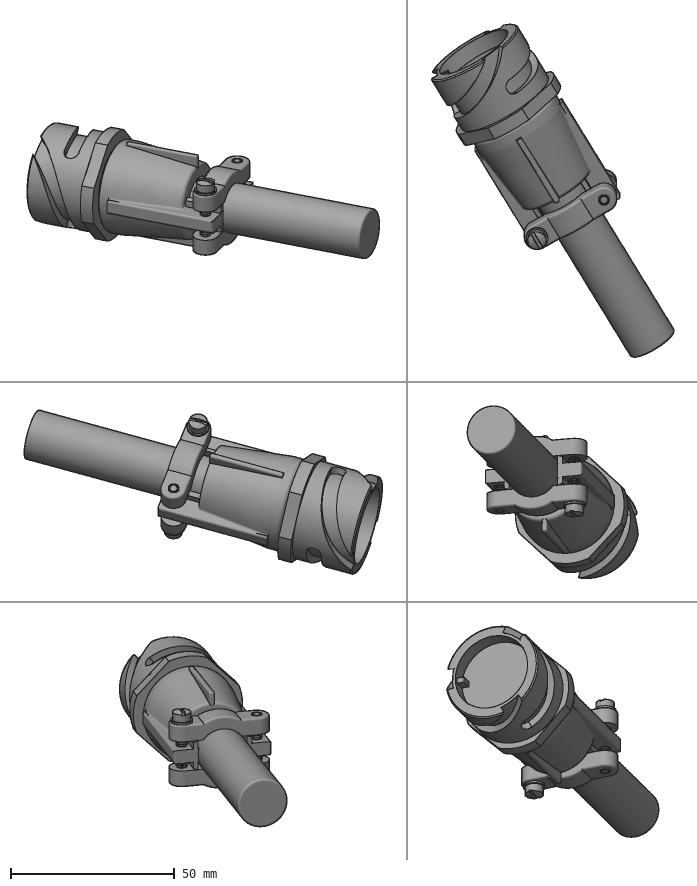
import cadquery as cq
import math

overall_length = 108.1

barrel_radius = 15.5
barrel_length = 18.9
barrel_rim_chamfer = 0.4
bore_radius = 12.1
bore_depth = 5.0
key_inner_radius = 9.8
key_width = 1.7
key_setback = 1.3

groove_count = 3
groove_width = 4.8
groove_floor_radius = 13.1
groove_start_angle = 121.0
groove_sweep = 122.0
groove_end_x = 12.0
groove_curve_power = 2.5
groove_lead_in = 0.15
groove_segments = 26
groove_segment_growth = 1.2

nut_diameter = 34.7
nut_flat_distance = 15.8
nut_flat_angle = 45
nut_width = 4.1

neck_radius = 13.1
neck_length = 0.3
shell_radius = 14.6
shell_small_radius = 12.0
shell_front_round = 1.4
shell_rear_round = 1.1
cone_start_x = 27.8
shell_end_x = 50.6

rib_start_x = 27.0
rib_reach = 15.5
rib_thickness = 1.7
arm_thickness = 4.3
arm_overhang = 11.8
edge_round = 0.6
arm_root_round = 0.6

cable_radius = 7.8
cable_end_round = 0.6

clamp_width = 7.8
clamp_arch_radius = 11.7
clamp_end_gap = 0.1
clamp_ear_top = 10.0
clamp_ear_bottom = 4.8
cradle_half_width = 9.3
cradle_top_drop = 0.5

screw_offset = 11.9
screw_radius = 1.7
thread_pitch = 0.6
thread_depth = 0.3
screw_head_radius = 2.8
screw_head_top = 13.8
screw_dome_height = 0.6
screw_slot_width = 1.1
screw_slot_depth = 1.0
washer_radius = 3.4
washer_thickness = 0.6
tip_clearance_radius = 1.6
tip_radius = 1.2
tip_recess = 0.5

groove_cutter_height = 2 * (barrel_radius - groove_floor_radius)
nut_end_x = barrel_length + nut_width
shell_start_x = nut_end_x + neck_length
arm_end_x = shell_end_x + arm_overhang
clamp_x = arm_end_x - clamp_end_gap - clamp_width / 2


def cylinder_x(radius, start_x, end_x):
    """Cylinder on the part axis between two X positions."""
    return cq.Workplane("YZ").workplane(offset=start_x).circle(radius).extrude(end_x - start_x)


def cylinder_z(radius, y, bottom, top):
    """Upright cylinder on the clamp centre line."""
    return (cq.Workplane("XY").workplane(offset=bottom)
            .center(clamp_x, y).circle(radius).extrude(top - bottom))


def block(x_range, y_range, z_range):
    """Axis-aligned block given its limits along X, Y and Z."""
    limits = (x_range, y_range, z_range)
    size = [high - low for low, high in limits]
    corner = tuple(limit[0] for limit in limits)
    return cq.Workplane("XY").box(*size, centered=False).translate(corner)


def groove_point(progress, radius):
    """Point on the groove centre line; progress runs from 0 at the mouth to 1 at the end."""
    x = groove_end_x * (1 - (1 - progress) ** groove_curve_power)
    angle = math.radians(groove_start_angle + groove_sweep * progress)
    return cq.Vector(x, radius * math.cos(angle), radius * math.sin(angle))


def groove_section(progress):
    """Rectangular groove section square to the centre line."""
    step = 0.001
    after = groove_point(min(progress + step, 1), barrel_radius)
    before = groove_point(progress - step, barrel_radius)
    floor = groove_point(progress, groove_floor_radius)
    radial = cq.Vector(0, floor.y, floor.z)
    plane = cq.Plane(origin=floor, xDir=radial, normal=after - before)
    section = cq.Workplane(plane).center(groove_cutter_height / 2, 0)
    section = section.rect(groove_cutter_height, groove_width)
    return section.val()


def make_groove_cutter():
    """Faceted curved bayonet groove with a round end."""
    span = 1 + groove_lead_in
    sections = []
    for i in range(groove_segments + 1):
        fraction = (i / groove_segments) ** groove_segment_growth
        sections.append(groove_section(span * fraction - groove_lead_in))
    track = cq.Solid.makeLoft(sections, True)
    floor = groove_point(1, groove_floor_radius)
    radial = cq.Vector(0, floor.y, floor.z)
    end = cq.Solid.makeCylinder(groove_width / 2, groove_cutter_height, floor, radial)
    return cq.Workplane(track).union(cq.Workplane(end))


def make_barrel():
    """Coupling barrel with a shallow bore, a locating key and bayonet grooves."""
    barrel = cylinder_x(barrel_radius, 0, barrel_length)
    barrel = barrel.faces("<X").edges().chamfer(barrel_rim_chamfer)
    barrel = barrel.cut(cylinder_x(bore_radius, 0, bore_depth))
    cutter = make_groove_cutter()
    for i in range(groove_count):
        barrel = barrel.cut(cutter.rotate((0, 0, 0), (1, 0, 0), 360 / groove_count * i))
    wall_middle = (bore_radius + groove_floor_radius) / 2
    key = block((key_setback, bore_depth), (key_inner_radius, wall_middle), (-key_width / 2, key_width / 2))
    return barrel.union(key)


def make_nut():
    """Round coupling flange with four diagonal flats."""
    nut = cylinder_x(nut_diameter / 2, barrel_length, nut_end_x)
    flats = (cq.Workplane("YZ").workplane(offset=barrel_length)
             .rect(2 * nut_flat_distance, 2 * nut_flat_distance).extrude(nut_width)
             .rotate((0, 0, 0), (1, 0, 0), nut_flat_angle))
    return nut.intersect(flats)


def make_plain_shell():
    """Tapered back shell with a rounded rear edge and a still sharp front edge."""
    shell = (cq.Workplane("XY")
             .moveTo(shell_start_x, 0)
             .lineTo(shell_start_x, shell_radius)
             .lineTo(cone_start_x, shell_radius)
             .lineTo(shell_end_x, shell_small_radius)
             .lineTo(shell_end_x, 0)
             .close()
             .revolve(360, (0, 0, 0), (1, 0, 0)))
    return shell.faces(">X").edges().fillet(shell_rear_round)


def is_arm_root(edge):
    """True for an edge where a side face of an arm meets the shell."""
    tolerance = 0.01
    middle = edge.Center()
    on_arm = math.isclose(abs(middle.z), arm_thickness / 2, abs_tol=tolerance)
    on_shell = math.hypot(middle.y, middle.z) < shell_radius + tolerance
    return on_arm and on_shell and shell_start_x < middle.x < shell_end_x + tolerance


def cross_bar(x_range, half_width, half_height):
    """Bar across the whole part, centred on its axis."""
    return block(x_range, (-half_width, half_width), (-half_height, half_height))


def make_arm_envelope():
    """Space that the shell, its root blends and the round-edged arms may fill."""
    arms = cross_bar((rib_start_x, arm_end_x), rib_reach, arm_thickness / 2)
    arms = arms.faces("<Y or >Y").edges("not(<X)").fillet(edge_round)
    front = cylinder_x(shell_radius, shell_start_x, rib_start_x)
    blends = cylinder_x(rib_reach - edge_round, rib_start_x, shell_end_x)
    rear_blend = cross_bar((shell_end_x, shell_end_x + arm_root_round),
                           shell_small_radius + arm_root_round, arm_thickness / 2 + arm_root_round)
    return front.union(blends).union(rear_blend).union(arms)


def make_ribs():
    """Thin round-edged ribs above and below the shell."""
    ribs = cross_bar((rib_start_x, shell_end_x), rib_thickness / 2, rib_reach)
    tip_edges = ribs.faces("<Z or >Z").edges("not(<X)")
    return tip_edges.add(ribs.edges("|Z and >X")).fillet(edge_round)


def make_ribbed_shell():
    """Shell with ribs above and below and flat side arms that run on to carry the clamp.

    The arms are first made over-long, blended into the shell, then trimmed to shape.
    """
    long_arms = cross_bar((shell_start_x, arm_end_x), rib_reach, arm_thickness / 2)
    body = make_plain_shell().union(long_arms)
    roots = [edge for edge in body.edges().vals() if is_arm_root(edge)]
    body = body.newObject(roots).fillet(arm_root_round)
    body = body.intersect(make_arm_envelope())
    body = body.faces("<X").edges().fillet(shell_front_round)
    neck = cylinder_x(neck_radius, nut_end_x, shell_start_x)
    return body.union(make_ribs()).union(neck)


def make_cradle():
    """Two low walls with sloping tops beside the cable, from the shell to the arm ends."""
    start_x = shell_end_x - shell_rear_round
    outer_height = clamp_ear_bottom - cradle_top_drop
    wall = (cq.Workplane("YZ").workplane(offset=start_x)
            .moveTo(cable_radius, -clamp_ear_bottom)
            .lineTo(cradle_half_width, -outer_height)
            .lineTo(cradle_half_width, outer_height)
            .lineTo(cable_radius, clamp_ear_bottom)
            .close()
            .extrude(arm_end_x - start_x))
    return wall.union(wall.mirror("XZ"))


def make_clamp_half():
    """Upper saddle: two round-ended ears joined by an arch over the cable."""
    start_x = clamp_x - clamp_width / 2
    end_x = clamp_x + clamp_width / 2
    ears = (cq.Workplane("XY").workplane(offset=clamp_ear_bottom)
            .center(clamp_x, 0)
            .slot2D(2 * screw_offset + clamp_width, clamp_width, 90)
            .extrude(clamp_ear_top - clamp_ear_bottom)
            .faces(">Z").edges().fillet(edge_round))
    arch = cylinder_x(clamp_arch_radius, start_x, end_x).faces("<X or >X").edges().fillet(edge_round)
    upper_space = block((start_x, end_x), (-clamp_arch_radius, clamp_arch_radius),
                        (clamp_ear_bottom, clamp_arch_radius))
    saddle = ears.union(arch.intersect(upper_space))
    recess = cylinder_z(tip_clearance_radius, screw_offset, clamp_ear_top - tip_recess, clamp_ear_top)
    return saddle.cut(recess)


def make_thread():
    """Threaded shank between the two ears, as a stack of sharp rings."""
    turns = round(2 * clamp_ear_bottom / thread_pitch)
    pitch = 2 * clamp_ear_bottom / turns
    root_radius = screw_radius - thread_depth
    profile = cq.Workplane("XZ").moveTo(0, -clamp_ear_bottom).lineTo(root_radius, -clamp_ear_bottom)
    for turn in range(turns):
        turn_bottom = -clamp_ear_bottom + turn * pitch
        profile = profile.lineTo(screw_radius, turn_bottom + pitch / 2)
        profile = profile.lineTo(root_radius, turn_bottom + pitch)
    thread = profile.lineTo(0, clamp_ear_bottom).close().revolve(360, (0, 0, 0), (0, 1, 0))
    return thread.translate((clamp_x, -screw_offset, 0))


def make_screw():
    """Screw through both clamp ears and the arm, domed slotted head up."""
    washer = cylinder_z(washer_radius, -screw_offset, clamp_ear_top, clamp_ear_top + washer_thickness)
    dome_radius = (screw_head_radius ** 2 + screw_dome_height ** 2) / (2 * screw_dome_height)
    dome_centre = (clamp_x, -screw_offset, screw_head_top - dome_radius)
    dome = cq.Workplane("XY").sphere(dome_radius).translate(dome_centre)
    head = cylinder_z(screw_head_radius, -screw_offset, clamp_ear_top, screw_head_top).intersect(dome)
    slot = block((clamp_x - screw_head_radius, clamp_x + screw_head_radius),
                 (-screw_offset - screw_slot_width / 2, -screw_offset + screw_slot_width / 2),
                 (screw_head_top - screw_slot_depth, screw_head_top))
    tip = cylinder_z(tip_radius, -screw_offset, -clamp_ear_top, -clamp_ear_bottom)
    return make_thread().union(washer).union(head.cut(slot)).union(tip)


def make_cable():
    """Cable leaving the rear of the shell."""
    cable = cylinder_x(cable_radius, shell_end_x - shell_rear_round, overall_length)
    return cable.faces(">X").edges().fillet(cable_end_round)


half_clamp = make_clamp_half().union(make_screw())
result = make_barrel().union(make_nut()).union(make_ribbed_shell())
for piece in (make_cradle(), make_cable()):
    result = result.union(piece)
for turn in (0, 180):
    result = result.union(half_clamp.rotate((0, 0, 0), (1, 0, 0), turn))